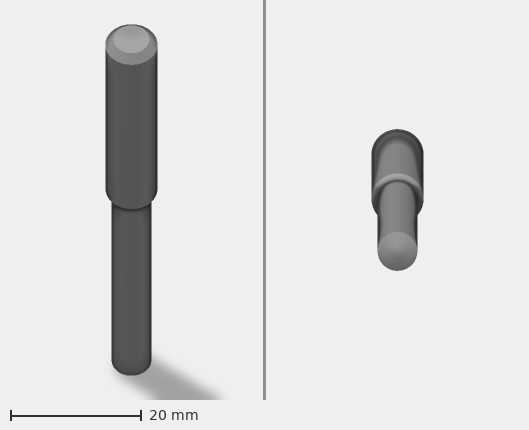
import cadquery as cq
import math

total_length = 79.0
shank_diameter = 8.0
neck_diameter = 6.1
point_angle = 140.0
tip_length = 19.4
neck_top = 41.5
shoulder_height = 1.4
end_chamfer = 1.3

shank_radius = shank_diameter / 2
neck_radius = neck_diameter / 2
point_height = neck_radius / math.tan(math.radians(point_angle / 2))
shank_bottom = neck_top + shoulder_height

shoulder_step = shank_radius - neck_radius
arc_turn = 2 * math.atan2(shoulder_step, shoulder_height)
arc_radius = shoulder_height / (2 * math.sin(arc_turn))
arc_mid_offset = arc_radius * (1 - math.cos(arc_turn / 2))
arc_mid_height = arc_radius * math.sin(arc_turn / 2)
shoulder_middle = ((neck_radius + shank_radius) / 2, neck_top + shoulder_height / 2)


def make_drill_tip():
    """Cylindrical cutting end with a conical point at the origin."""
    profile = (
        cq.Workplane("XZ")
        .moveTo(0, 0)
        .lineTo(neck_radius, point_height)
        .lineTo(neck_radius, tip_length)
        .lineTo(0, tip_length)
        .close()
    )
    return profile.revolve(360, (0, 0, 0), (0, 1, 0))


def make_holder():
    """Neck, rounded shoulder and chamfered shank, standing on the drill tip."""
    profile = (
        cq.Workplane("XZ")
        .moveTo(0, tip_length)
        .lineTo(neck_radius, tip_length)
        .lineTo(neck_radius, neck_top)
        .threePointArc((neck_radius + arc_mid_offset, neck_top + arc_mid_height), shoulder_middle)
        .threePointArc(
            (shank_radius - arc_mid_offset, shank_bottom - arc_mid_height),
            (shank_radius, shank_bottom),
        )
        .lineTo(shank_radius, total_length - end_chamfer)
        .lineTo(shank_radius - end_chamfer, total_length)
        .lineTo(0, total_length)
        .close()
    )
    return profile.revolve(360, (0, 0, 0), (0, 1, 0))


drill_tip = make_drill_tip()
holder = make_holder()

result = cq.Compound.makeCompound([drill_tip.val(), holder.val()])